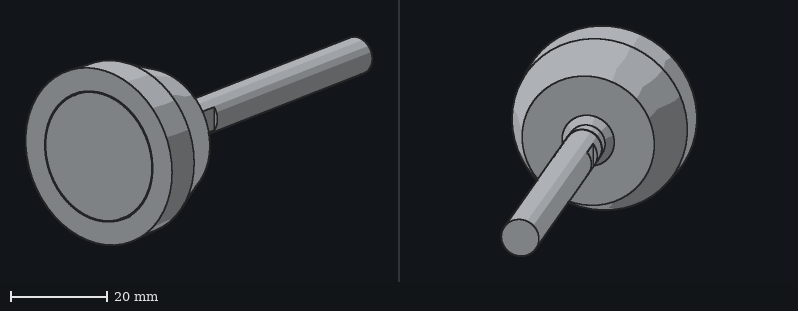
import cadquery as cq

underside_diameter = 38.0
shoulder_diameter = 37.3
bell_top_diameter = 28.1
shoulder_y = 8.2
bell_top_y = 19.9

collar_diameter = 11.1
neck_diameter = 7.8
rod_diameter = 8.0
collar_end_y = bell_top_y + (collar_diameter - neck_diameter) / 2
neck_end_y = 25.0
stem_end_y = 90.0

flats_width = 6.2
flats_start_y = 30.0
flats_length = 6.0

pad_diameter = 27.5
recess_diameter = 28.0
pad_thickness = 2.0


def disc(diameter, thickness):
    """Disc on the Y axis, rising from the underside."""
    return cq.Workplane("XZ").circle(diameter / 2).extrude(-thickness)


def make_foot_blank():
    """Turned outline of the foot and its stem."""
    return (
        cq.Workplane("XY")
        .lineTo(underside_diameter / 2, 0)
        .lineTo(shoulder_diameter / 2, shoulder_y)
        .lineTo(bell_top_diameter / 2, bell_top_y)
        .lineTo(collar_diameter / 2, bell_top_y)
        .lineTo(neck_diameter / 2, collar_end_y)
        .lineTo(neck_diameter / 2, neck_end_y)
        .lineTo(rod_diameter / 2, neck_end_y)
        .lineTo(rod_diameter / 2, stem_end_y)
        .lineTo(0, stem_end_y)
        .close()
        .revolve(360, (0, 0, 0), (0, 1, 0))
    )


def cut_spanner_flats(body):
    """Remove the rod material outside the width across the flats."""
    for side in (-1, 1):
        cutter = cq.Workplane("XY").box(rod_diameter, flats_length, 2 * rod_diameter)
        cutter_x = side * (flats_width + rod_diameter) / 2
        cutter_y = flats_start_y + flats_length / 2
        body = body.cut(cutter.translate((cutter_x, cutter_y, 0)))
    return body


def make_foot():
    """Foot with its stem, spanner flats and pad recess."""
    foot = cut_spanner_flats(make_foot_blank())
    return foot.cut(disc(recess_diameter, pad_thickness))


def make_pad():
    """Round pad seated in the recess."""
    return disc(pad_diameter, pad_thickness)


foot = make_foot()
pad = make_pad()

result = cq.Compound.makeCompound([foot.val(), pad.val()])